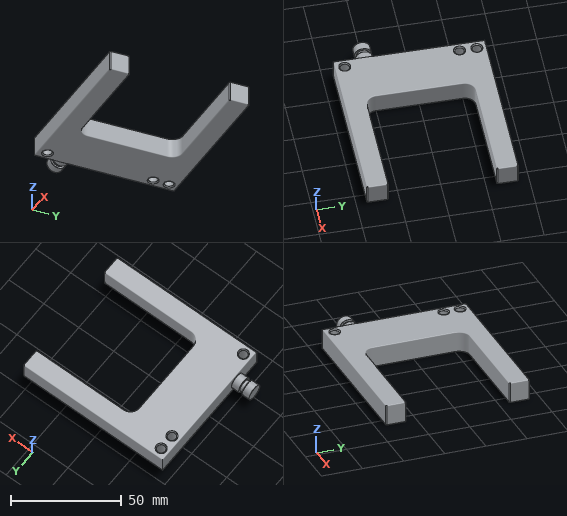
import cadquery as cq

total_length = 90
body_length = 79.9
body_width = 70.0
thickness = 10.0
arm_width = 10.0
bridge_length = 24.9
throat_radius = 5.0
edge_radius = 0.45
tip_chamfer = 0.5

hole_diameter = 4.3
countersink_diameter = 5.4
countersink_angle = 90
hole_inset_x = 4.3
hole_inset_y = 4.5
hole_pair_spacing = 8.0

connector_length = total_length - body_length
connector_diameter = 8.0
connector_y = -20.1
groove_diameter = 6.0
groove_width = 2.0
collar_length = (connector_length - groove_width) / 2


def make_body():
    """U-shaped fork with a rounded throat, chamfered arm tips and rounded top and bottom rims."""
    block = cq.Workplane("XY").box(body_length, body_width, thickness, centered=(False, True, True))
    slot_length = body_length - bridge_length
    slot_width = body_width - 2 * arm_width
    slot = (
        cq.Workplane("XY")
        .box(slot_length, slot_width, thickness, centered=(False, True, True))
        .translate((bridge_length, 0, 0))
        .edges("|Z and <X")
        .fillet(throat_radius)
    )
    fork = block.cut(slot)
    fork = fork.edges("|Z and >X").chamfer(tip_chamfer)
    return fork.faces("<Z or >Z").edges().fillet(edge_radius)


def drill_mounting_holes(body):
    """Through holes countersunk on the top and bottom faces."""
    outer_y = body_width / 2 - hole_inset_y
    centres = [
        (hole_inset_x, outer_y),
        (hole_inset_x, outer_y - hole_pair_spacing),
        (hole_inset_x, -outer_y),
    ]
    for face in (">Z", "<Z"):
        sign = 1 if face == ">Z" else -1
        body = (
            body.faces(face)
            .workplane(origin=(0, 0, 0))
            .pushPoints([(x, sign * y) for x, y in centres])
            .cskHole(hole_diameter, countersink_diameter, countersink_angle)
        )
    return body


def connector_section(diameter, start, length):
    """Round section running in -X, beginning at a distance from the body."""
    return (
        cq.Workplane("YZ", origin=(-start, connector_y, 0))
        .circle(diameter / 2)
        .extrude(-length)
    )


result = drill_mounting_holes(make_body())
result = result.union(connector_section(connector_diameter, 0, collar_length))
result = result.union(connector_section(groove_diameter, collar_length, groove_width))
result = result.union(connector_section(connector_diameter, collar_length + groove_width, collar_length))